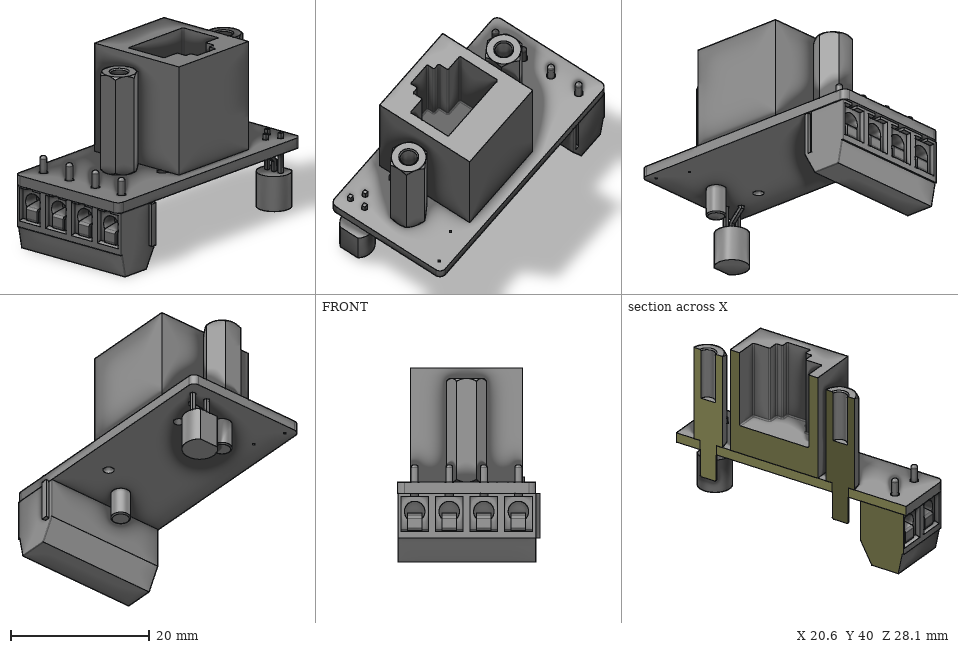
import cadquery as cq
import math

BOARD_WIDTH = 20
BOARD_LENGTH = 40
BOARD_THICKNESS = 1.6
BOARD_CORNER_RADIUS = 1.0
SMALL_HOLE_DIAMETER = 0.35
SMALL_HOLE_POINTS = [(-8.5, 18.5), (-6.8, 13.5)]
SHIELD_HOLE_DIAMETER = 1.6
SHIELD_HOLE_X = 5.2
SHIELD_HOLE_SPACING = 15.9
PIN_HOLE_DIAMETER = 1.3
LEAD_HOLE_DIAMETER = 0.9

JACK_Y = 3.0
JACK_WIDTH = 16.25
JACK_LENGTH = 15.25
JACK_HEIGHT = 16.5
SOCKET_DEPTH = 12
SOCKET_FILLET = 0.2
SOCKET_LEFT_X = -3.05
SOCKET_STEPS = [(3.8, 11.95), (5.5, 6.2), (6.7, 4)]

STANDOFF_SPACING = 22.95
HEX_ACROSS_FLATS = 5.0
HEX_HEIGHT = 15.0
HEX_CHAMFER_ANGLE = 45
BORE_DIAMETER = 2.5
BORE_MOUTH_DIAMETER = 2.9
BORE_DEPTH = 8
STUD_DIAMETER = 2.9
STUD_TIP_DIAMETER = 2.5
STUD_LENGTH = 6

BLOCK_LEFT_X = -9.9
BLOCK_RIGHT_X = 10.05
BLOCK_FRONT_Y = -19.55
BLOCK_BACK_Y = -12
BLOCK_HEIGHT = 9.95
SHOULDER_Z = -6.5
FRONT_STEP = 0.25
BLOCK_EDGE_FILLET = 0.1
FOOT_FRONT_Y = -18.6
FOOT_BACK_Y = -13.95

RAIL_Y = -13.0
RIB_BASE_WIDTH = 0.75
RIB_TIP_WIDTH = 1.0
GROOVE_MOUTH_WIDTH = 0.65
GROOVE_FLOOR_WIDTH = 0.9
RAIL_DEPTH = 0.6

PIN_COUNT = 4
PIN_PITCH = 5.0
PIN_Y = -16.55
PIN_DIAMETER = 1.0
PIN_TOP_Z = 4.1
PIN_TIP_FILLET = 0.4
PIN_COLLAR_DIAMETER = 1.15

POCKET_WIDTH = 4
POCKET_TOP_Z = -0.45
POCKET_BOTTOM_Z = -5.5
POCKET_DEPTH = 0.8
POCKET_FLOOR_RISE = 0.2
WIRE_HOLE_DIAMETER = 2.95
WIRE_HOLE_Z = -2.65
WIRE_HOLE_DEPTH = 2.4
CLAMP_WIDTH = 2.1
CLAMP_PROTRUSION = 0.35
CLAMP_FRONT_TOP_Z = -3.3
CLAMP_BACK_TOP_Z = -2.9
CLAMP_TOP_FILLET = 0.35
CLAMP_BOTTOM_FILLET = 0.5

SENSOR_X = 6.85
SENSOR_Y = 17.7
SENSOR_DIAMETER = 5.15
SENSOR_FLAT_OFFSET = 2.05
SENSOR_TOP_Z = -3.75
SENSOR_HEIGHT = 5.35
LEAD_WIDTH = 0.55
LEAD_PITCH = 1.3
LEAD_TOP_Z = 2.35
MIDDLE_LEAD_OFFSET = 1.85
MIDDLE_LEAD_BEND_Z = -2.1

BOARD_TOP_Z = BOARD_THICKNESS
STANDOFF_POINTS = [(0, JACK_Y + side * STANDOFF_SPACING / 2) for side in (-1, 1)]
SHIELD_HOLE_POINTS = [(SHIELD_HOLE_X, JACK_Y + side * SHIELD_HOLE_SPACING / 2) for side in (-1, 1)]
PIN_XS = [(i - (PIN_COUNT - 1) / 2) * PIN_PITCH for i in range(PIN_COUNT)]
PIN_POINTS = [(x, PIN_Y) for x in PIN_XS]
LEAD_POINTS = [
    (SENSOR_X - LEAD_PITCH, SENSOR_Y),
    (SENSOR_X, SENSOR_Y - MIDDLE_LEAD_OFFSET),
    (SENSOR_X + LEAD_PITCH, SENSOR_Y),
]


def box_between(x_range, y_range, z_range):
    """Axis-aligned box given by its (low, high) limits."""
    (x0, x1), (y0, y1), (z0, z1) = x_range, y_range, z_range
    return cq.Workplane("XY").box(x1 - x0, y1 - y0, z1 - z0, centered=False).translate((x0, y0, z0))


def extrude_along_x(yz_points, x_start, x_end):
    """Prism with the given (Y, Z) outline between two X positions."""
    outline = cq.Workplane("YZ", origin=(x_start, 0, 0)).polyline(yz_points).close()
    return outline.extrude(x_end - x_start)


def make_board():
    board = cq.Workplane("XY").rect(BOARD_WIDTH, BOARD_LENGTH).extrude(BOARD_THICKNESS)
    board = board.edges("|Z").fillet(BOARD_CORNER_RADIUS)
    holes = [
        (SMALL_HOLE_DIAMETER, SMALL_HOLE_POINTS),
        (SHIELD_HOLE_DIAMETER, SHIELD_HOLE_POINTS),
        (STUD_DIAMETER, STANDOFF_POINTS),
        (PIN_HOLE_DIAMETER, PIN_POINTS),
        (LEAD_HOLE_DIAMETER, LEAD_POINTS),
    ]
    for diameter, points in holes:
        board = board.cut(cq.Workplane("XY").pushPoints(points).circle(diameter / 2).extrude(BOARD_THICKNESS))
    return board


def make_socket():
    """Stepped socket cavity with rounded vertical and floor edges."""
    upper_side = []
    previous_x = SOCKET_LEFT_X
    for right_x, length in SOCKET_STEPS:
        upper_side += [(previous_x, length / 2), (right_x, length / 2)]
        previous_x = right_x
    lower_side = [(x, -y) for x, y in reversed(upper_side)]
    floor_z = BOARD_TOP_Z + JACK_HEIGHT - SOCKET_DEPTH
    socket = cq.Workplane("XY", origin=(0, JACK_Y, floor_z)).polyline(upper_side + lower_side).close()
    socket = socket.extrude(SOCKET_DEPTH)
    socket = socket.edges("|Z").fillet(SOCKET_FILLET)
    return socket.faces("<Z").edges().fillet(SOCKET_FILLET)


def make_jack():
    jack = cq.Workplane("XY", origin=(0, JACK_Y, BOARD_TOP_Z)).rect(JACK_WIDTH, JACK_LENGTH).extrude(JACK_HEIGHT)
    return jack.cut(make_socket())


def make_standoff(x, y):
    """Hexagonal column with turned ends, a blind bore on top and a stud through the board."""
    corner_radius = HEX_ACROSS_FLATS / math.sqrt(3)
    flat_radius = HEX_ACROSS_FLATS / 2
    chamfer_height = (corner_radius - flat_radius) * math.tan(math.radians(HEX_CHAMFER_ANGLE))
    hexagon = cq.Workplane("XY").polygon(6, 2 * corner_radius).extrude(HEX_HEIGHT)
    turned = (
        cq.Workplane("XZ")
        .polyline(
            [
                (0, 0),
                (flat_radius, 0),
                (corner_radius, chamfer_height),
                (corner_radius, HEX_HEIGHT - chamfer_height),
                (flat_radius, HEX_HEIGHT),
                (0, HEX_HEIGHT),
            ]
        )
        .close()
        .revolve(360, (0, 0), (0, 1))
    )
    bore = cq.Workplane("XY", origin=(0, 0, HEX_HEIGHT)).circle(BORE_DIAMETER / 2).extrude(-BORE_DEPTH)
    column = hexagon.intersect(turned).cut(bore)
    column = column.faces(">Z").edges("%CIRCLE").edges(cq.selectors.RadiusNthSelector(0))
    column = column.chamfer((BORE_MOUTH_DIAMETER - BORE_DIAMETER) / 2)
    stud = cq.Workplane("XY").circle(STUD_DIAMETER / 2).extrude(-STUD_LENGTH)
    stud = stud.faces("<Z").chamfer((STUD_DIAMETER - STUD_TIP_DIAMETER) / 2)
    return column.union(stud).translate((x, y, BOARD_TOP_Z))


def make_rail(base_width, tip_width, x_start):
    """Dovetail bar that widens from base to tip along +X."""
    dovetail = [
        (x_start, RAIL_Y - base_width / 2),
        (x_start + RAIL_DEPTH, RAIL_Y - tip_width / 2),
        (x_start + RAIL_DEPTH, RAIL_Y + tip_width / 2),
        (x_start, RAIL_Y + base_width / 2),
    ]
    return cq.Workplane("XY").polyline(dovetail).close().extrude(SHOULDER_Z)


def make_wire_entry(x):
    """Front pocket with a sloping floor, the round wire hole behind it and the notch up to the pin."""
    pocket_back_y = BLOCK_FRONT_Y + POCKET_DEPTH
    pocket_outline = [
        (BLOCK_FRONT_Y, POCKET_BOTTOM_Z),
        (pocket_back_y, POCKET_BOTTOM_Z + POCKET_FLOOR_RISE),
        (pocket_back_y, POCKET_TOP_Z),
        (BLOCK_FRONT_Y, POCKET_TOP_Z),
    ]
    pocket = extrude_along_x(pocket_outline, x - POCKET_WIDTH / 2, x + POCKET_WIDTH / 2)
    wire_hole = cq.Workplane("XZ", origin=(x, pocket_back_y, WIRE_HOLE_Z)).circle(WIRE_HOLE_DIAMETER / 2)
    wire_hole = wire_hole.extrude(-WIRE_HOLE_DEPTH)
    half_notch = PIN_COLLAR_DIAMETER / 2
    notch = box_between((x - half_notch, x + half_notch), (BLOCK_FRONT_Y, PIN_Y), (POCKET_TOP_Z, 0))
    return pocket.union(wire_hole).union(notch)


def make_clamp(x):
    """Wire clamp that reaches from the end of the wire hole into the pocket."""
    pocket_back_y = BLOCK_FRONT_Y + POCKET_DEPTH
    front_y = pocket_back_y - CLAMP_PROTRUSION
    back_y = pocket_back_y + WIRE_HOLE_DEPTH
    outline = [
        (front_y, POCKET_BOTTOM_Z),
        (front_y, CLAMP_FRONT_TOP_Z),
        (back_y, CLAMP_BACK_TOP_Z),
        (back_y, POCKET_BOTTOM_Z),
    ]
    clamp = extrude_along_x(outline, x - CLAMP_WIDTH / 2, x + CLAMP_WIDTH / 2)
    clamp = clamp.faces("<Y").edges(">Z").fillet(CLAMP_TOP_FILLET)
    return clamp.faces("<Y").edges("<Z").fillet(CLAMP_BOTTOM_FILLET)


def make_pin(x):
    """Round-tipped pin with a thicker collar at the top of the block."""
    pin = cq.Workplane("XY", origin=(x, PIN_Y, POCKET_TOP_Z)).circle(PIN_DIAMETER / 2)
    pin = pin.extrude(PIN_TOP_Z - POCKET_TOP_Z).faces(">Z").edges().fillet(PIN_TIP_FILLET)
    collar = cq.Workplane("XY", origin=(x, PIN_Y, POCKET_TOP_Z)).circle(PIN_COLLAR_DIAMETER / 2)
    return pin.union(collar.extrude(-POCKET_TOP_Z))


def make_terminal_block():
    side_outline = [
        (BLOCK_FRONT_Y, 0),
        (BLOCK_FRONT_Y, SHOULDER_Z),
        (BLOCK_FRONT_Y + FRONT_STEP, SHOULDER_Z),
        (FOOT_FRONT_Y, -BLOCK_HEIGHT),
        (FOOT_BACK_Y, -BLOCK_HEIGHT),
        (BLOCK_BACK_Y, SHOULDER_Z),
        (BLOCK_BACK_Y, 0),
    ]
    block = extrude_along_x(side_outline, BLOCK_LEFT_X, BLOCK_RIGHT_X)
    block = block.faces("<X or >X").edges().fillet(BLOCK_EDGE_FILLET)
    block = block.union(make_rail(RIB_BASE_WIDTH, RIB_TIP_WIDTH, BLOCK_RIGHT_X))
    block = block.cut(make_rail(GROOVE_MOUTH_WIDTH, GROOVE_FLOOR_WIDTH, BLOCK_LEFT_X))
    for x in PIN_XS:
        block = block.cut(make_wire_entry(x))
        block = block.union(make_clamp(x))
        block = block.union(make_pin(x))
    return block


def make_straight_lead(x):
    half = LEAD_WIDTH / 2
    return box_between((x - half, x + half), (SENSOR_Y - half, SENSOR_Y + half), (SENSOR_TOP_Z, LEAD_TOP_Z))


def make_middle_lead():
    """Lead that rises, leans 45 degrees towards -Y and rises again."""
    half = LEAD_WIDTH / 2
    miter = half * math.tan(math.radians(45 / 2))
    upper_y = SENSOR_Y - MIDDLE_LEAD_OFFSET
    upper_bend_z = MIDDLE_LEAD_BEND_Z + MIDDLE_LEAD_OFFSET
    outline = [
        (SENSOR_Y - half, SENSOR_TOP_Z),
        (SENSOR_Y + half, SENSOR_TOP_Z),
        (SENSOR_Y + half, MIDDLE_LEAD_BEND_Z + miter),
        (upper_y + half, upper_bend_z + miter),
        (upper_y + half, LEAD_TOP_Z),
        (upper_y - half, LEAD_TOP_Z),
        (upper_y - half, upper_bend_z - miter),
        (SENSOR_Y - half, MIDDLE_LEAD_BEND_Z - miter),
    ]
    return extrude_along_x(outline, SENSOR_X - half, SENSOR_X + half)


def make_sensor():
    """Round body with a flat on its +Y side and three leads through the board."""
    radius = SENSOR_DIAMETER / 2
    bottom_z = SENSOR_TOP_Z - SENSOR_HEIGHT
    body = cq.Workplane("XY", origin=(SENSOR_X, SENSOR_Y, bottom_z)).circle(radius).extrude(SENSOR_HEIGHT)
    flat_y = SENSOR_Y + SENSOR_FLAT_OFFSET
    body = body.cut(
        box_between(
            (SENSOR_X - radius, SENSOR_X + radius),
            (flat_y, SENSOR_Y + radius),
            (bottom_z, SENSOR_TOP_Z),
        )
    )
    for side in (-1, 1):
        body = body.union(make_straight_lead(SENSOR_X + side * LEAD_PITCH))
    return body.union(make_middle_lead())


board = make_board()
jack = make_jack()
standoffs = [make_standoff(x, y) for x, y in STANDOFF_POINTS]
terminal_block = make_terminal_block()
sensor = make_sensor()

result = cq.Compound.makeCompound(
    [
        board.solids().val(),
        jack.solids().val(),
        *[standoff.solids().val() for standoff in standoffs],
        terminal_block.solids().val(),
        sensor.solids().val(),
    ]
)